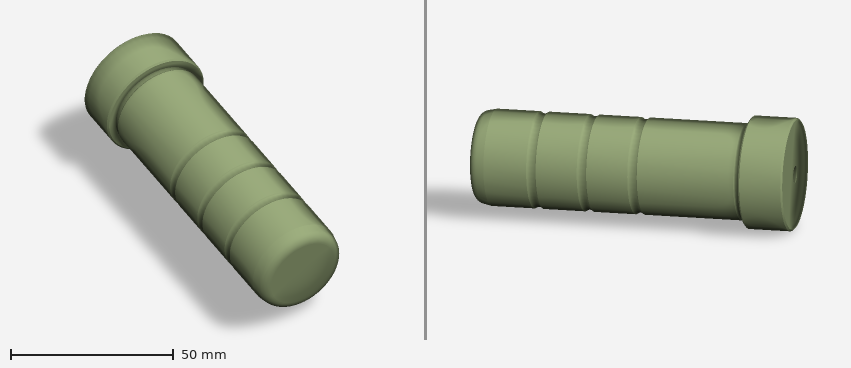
import cadquery as cq
import math

TOTAL_LENGTH = 100.0
HEAD_DIAMETER = 35.0
HEAD_LENGTH = 14.0
HEAD_CHAMFER = 0.5
BODY_DIAMETER = 30.0

RELIEF_DEPTH = 0.4
RELIEF_FLAT_LENGTH = 1.5
RELIEF_LENGTH = 2.0

GROOVE_COUNT = 3
FIRST_GROOVE_CENTER = 48.0
GROOVE_PITCH = 16.0
GROOVE_WIDTH = 3.0
GROOVE_DEPTH = 0.6

LEAD_LENGTH = 5.0
LEAD_ANGLE = 12.0
NOSE_RADIUS = 3.0

CENTER_MOUTH_DIAMETER = 5.3
CENTER_BORE_DIAMETER = 3.2
CENTER_CONE_ANGLE = 60.0
CENTER_BORE_LENGTH = 3.0
DRILL_TIP_ANGLE = 120.0

AXIS_START = (0, 0, 0)
AXIS_END = (1, 0, 0)

head_radius = HEAD_DIAMETER / 2
body_radius = BODY_DIAMETER / 2


def revolve_about_axis(profile):
    """Close an (axial position, radius) profile and turn it about the X axis."""
    return profile.close().revolve(360, AXIS_START, AXIS_END)


def make_head():
    head = cq.Workplane("YZ").circle(head_radius).extrude(HEAD_LENGTH)
    return head.edges("%CIRCLE").chamfer(HEAD_CHAMFER)


def make_body():
    """Build the shank with its undercut, taper and rounded nose."""
    relief_radius = body_radius - RELIEF_DEPTH
    nose_corner_radius = body_radius - LEAD_LENGTH * math.tan(math.radians(LEAD_ANGLE))
    body_start = HEAD_LENGTH / 2
    profile = (
        cq.Workplane("XY")
        .moveTo(body_start, 0)
        .lineTo(body_start, relief_radius)
        .lineTo(HEAD_LENGTH + RELIEF_FLAT_LENGTH, relief_radius)
        .lineTo(HEAD_LENGTH + RELIEF_LENGTH, body_radius)
        .lineTo(TOTAL_LENGTH - LEAD_LENGTH, body_radius)
        .lineTo(TOTAL_LENGTH, nose_corner_radius)
        .lineTo(TOTAL_LENGTH, 0)
    )
    return revolve_about_axis(profile).faces(">X").edges().fillet(NOSE_RADIUS)


def make_groove_cutter(center):
    """Build a ring with a circular-arc floor, centered at one axial position."""
    half_width = GROOVE_WIDTH / 2
    profile = (
        cq.Workplane("XY")
        .moveTo(center - half_width, body_radius)
        .threePointArc((center, body_radius - GROOVE_DEPTH), (center + half_width, body_radius))
        .lineTo(center + half_width, head_radius)
        .lineTo(center - half_width, head_radius)
    )
    return revolve_about_axis(profile)


def make_center_hole_cutter():
    """Build the conical mouth, short bore and drill tip as one cutter."""
    mouth_radius = CENTER_MOUTH_DIAMETER / 2
    bore_radius = CENTER_BORE_DIAMETER / 2
    cone_depth = (mouth_radius - bore_radius) / math.tan(math.radians(CENTER_CONE_ANGLE / 2))
    bore_end = cone_depth + CENTER_BORE_LENGTH
    tip_depth = bore_radius / math.tan(math.radians(DRILL_TIP_ANGLE / 2))
    profile = (
        cq.Workplane("XY")
        .moveTo(0, 0)
        .lineTo(0, mouth_radius)
        .lineTo(cone_depth, bore_radius)
        .lineTo(bore_end, bore_radius)
        .lineTo(bore_end + tip_depth, 0)
    )
    return revolve_about_axis(profile)


result = make_head().union(make_body())
for index in range(GROOVE_COUNT):
    result = result.cut(make_groove_cutter(FIRST_GROOVE_CENTER + index * GROOVE_PITCH))
result = result.cut(make_center_hole_cutter())